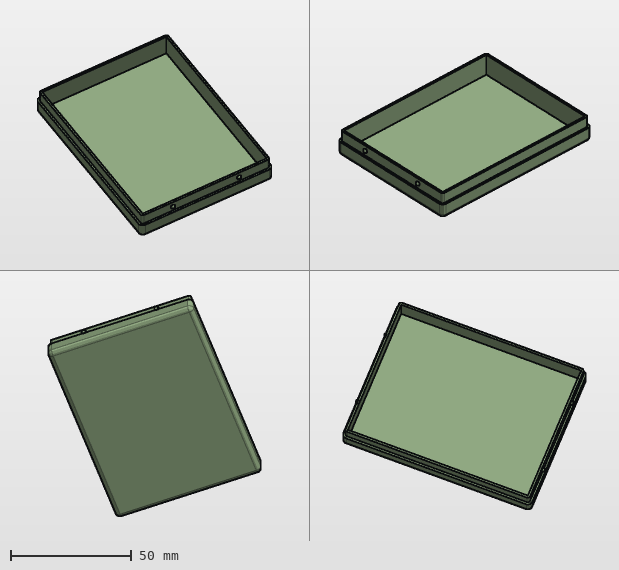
import cadquery as cq

length = 84.0
width = 64.0
height = 12.0
edge_radius = 2.0

lip_height = 5.0
lip_inset = 1.0
lip_wall = 1.0
floor_thickness = 2.0

bump_radius = 1.0
bump_spacing = 32.0
bump_height = 9.5

base_height = height - lip_height
lip_length = length - 2 * lip_inset
lip_width = width - 2 * lip_inset
lip_corner_radius = edge_radius - lip_inset
cavity_length = lip_length - 2 * lip_wall
cavity_width = lip_width - 2 * lip_wall


def centred_block(size_x, size_y, bottom, top):
    """Block centred on the Z axis between two heights."""
    return cq.Workplane("XY").workplane(offset=bottom).rect(size_x, size_y).extrude(top - bottom)


def make_base():
    """Lower block with its vertical and bottom edges rounded."""
    block = centred_block(length, width, 0, base_height)
    return block.edges("|Z or <Z").fillet(edge_radius)


def make_lip():
    """Inset upper block with rounded corners."""
    block = centred_block(lip_length, lip_width, base_height, height)
    return block.edges("|Z").fillet(lip_corner_radius)


def make_bumps():
    """Spheres centred on the short faces of the lip, half buried in the wall."""
    centres = [
        (side * lip_length / 2, end * bump_spacing / 2, bump_height)
        for side in (-1, 1)
        for end in (-1, 1)
    ]
    return cq.Workplane("XY").pushPoints(centres).sphere(bump_radius)


def make_cavity():
    """Sharp-cornered pocket, open at the top."""
    return centred_block(cavity_length, cavity_width, floor_thickness, height)


result = make_base().union(make_lip()).union(make_bumps()).cut(make_cavity())